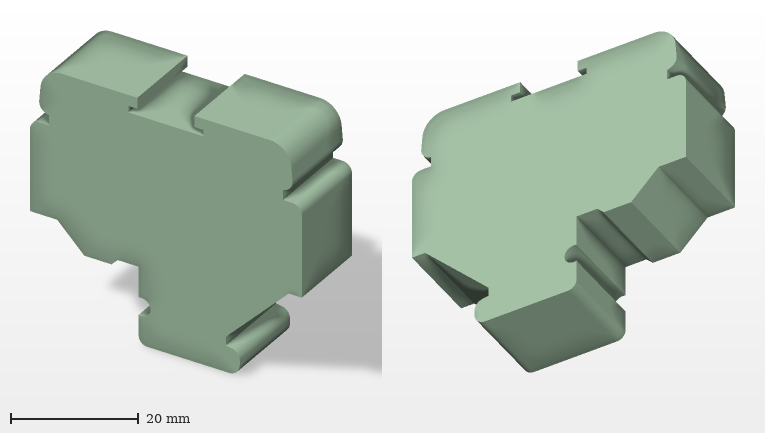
import math
import cadquery as cq

width = 50.0
thickness = 15.0
height = 45.0

half_width = width / 2
body_bottom = 18.0
body_top = 34.8
body_corner_radius = 1.7

head_corner_radius = 4.0
head_taper = math.radians(5.0)
head_flat_half_width = 19.1
rim_start_z = height - 6.2
neck_half_width = 21.55
neck_top = height - 8.35

slot_mouth_half_width = 5.25
slot_lip_height = 2.0
slot_half_width = 6.9
slot_depth = 3.2

skirt_left = -20.0
skirt_right = 22.6
skirt_drop = 5.0
skirt_floor_right = -10.0
skirt_step = 1.15

stem_left = -5.0
stem_right = 11.05
hook_right = 13.6
hook_top = 4.85
hook_slope = math.radians(10.0)
hook_top_radius = 1.8
hook_bottom_radius = 2.0
stem_corner_radius = 1.5

groove_radius = 1.65
groove_center_x = -4.5
groove_center_z = 6.95


def extrude_outline(outline):
    """Extrude a closed XZ outline symmetrically about the XZ plane."""
    return outline.extrude(thickness / 2, both=True)


def round_edge(solid, x, z, radius):
    """Round the Y-direction edge that passes through (x, z)."""
    return solid.edges(cq.NearestToPointSelector((x, 0, z))).fillet(radius)


def centered_box(half_size_x, bottom, top):
    """Box across the full thickness, centred on X = 0."""
    return cq.Workplane("XY").box(
        2 * half_size_x, thickness, top - bottom, centered=(True, True, False)
    ).translate((0, 0, bottom))


def make_upper_half():
    """Right half of the body and head."""
    turn = math.pi / 2 - head_taper
    corner_x = head_flat_half_width + head_corner_radius * math.tan(turn / 2)
    rim_x = corner_x + (height - rim_start_z) * math.tan(head_taper)
    outline = (
        cq.Workplane("XZ")
        .moveTo(0, height)
        .lineTo(corner_x, height)
        .lineTo(rim_x, rim_start_z)
        .tangentArcPoint((neck_half_width, neck_top), relative=False)
        .lineTo(neck_half_width, body_top)
        .lineTo(half_width, body_top)
        .lineTo(half_width, body_bottom)
        .lineTo(0, body_bottom)
        .close()
    )
    half = extrude_outline(outline)
    half = round_edge(half, corner_x, height, head_corner_radius)
    return round_edge(half, half_width, body_top, body_corner_radius)


def make_upper():
    """Symmetric body and head with the T-slot."""
    half = make_upper_half()
    upper = half.union(half.mirror("YZ"))
    slot_floor = height - slot_depth
    mouth = centered_box(slot_mouth_half_width, slot_floor, height)
    undercut = centered_box(slot_half_width, slot_floor, height - slot_lip_height)
    return upper.cut(mouth).cut(undercut)


def make_lower():
    """Sloped skirt, stem and rail hook."""
    skirt_floor = body_bottom - skirt_drop
    step_z = skirt_floor + skirt_step
    slope_end_z = body_bottom - (skirt_right - stem_right)
    hook_corner_z = hook_top - (hook_right - stem_right) * math.tan(hook_slope)
    outline = cq.Workplane("XZ").polyline([
        (skirt_left, body_bottom),
        (skirt_left + skirt_drop, skirt_floor),
        (skirt_floor_right, skirt_floor),
        (skirt_floor_right + skirt_step, step_z),
        (stem_left, step_z),
        (stem_left, 0),
        (hook_right, 0),
        (hook_right, hook_corner_z),
        (stem_right, hook_top),
        (stem_right, slope_end_z),
        (skirt_right, body_bottom),
    ]).close()
    lower = extrude_outline(outline)
    lower = round_edge(lower, stem_left, 0, stem_corner_radius)
    lower = round_edge(lower, hook_right, 0, hook_bottom_radius)
    return round_edge(lower, hook_right, hook_corner_z, hook_top_radius)


def make_groove():
    """Round cutter for the groove, running through the full thickness."""
    circle = cq.Workplane("XZ").center(groove_center_x, groove_center_z).circle(groove_radius)
    return extrude_outline(circle)


part = make_upper().union(make_lower()).cut(make_groove()).clean()
result = part.solids()